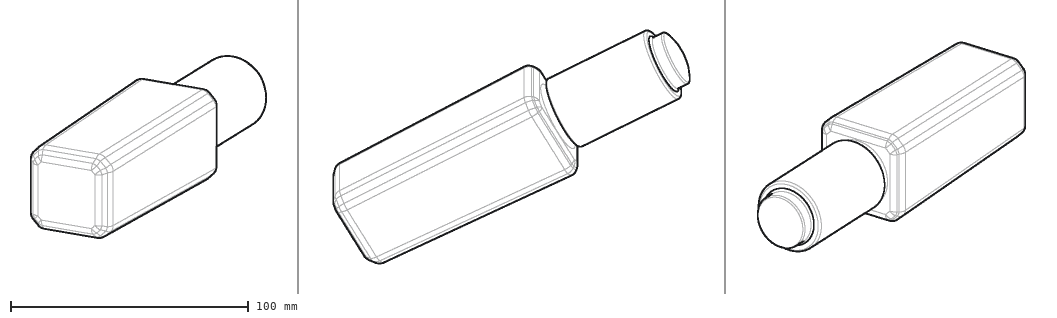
import cadquery as cq
import math

OVERALL_LENGTH = 160.0

SHOULDER_WIDTH = 42.0
SHOULDER_DEPTH = 40.6
SHOULDER_Y = 100.0
DRAFT_ANGLE = 1.0
LONG_EDGE_CHAMFER = 5.0
BASE_CHAMFER = 4.0
SHOULDER_CHAMFER = 3.0
BOTTLE_FILLET = 4.0

NECK_RADIUS = 12.0
NECK_LENGTH = 3.0

COLLAR_RADIUS = 16.0
COLLAR_LENGTH = 48.0
COLLAR_TOP_FILLET = 1.0
COLLAR_BOTTOM_FILLET = 0.5
COLLAR_BOTTOM_Y = SHOULDER_Y + NECK_LENGTH
COLLAR_TOP_Y = COLLAR_BOTTOM_Y + COLLAR_LENGTH

BUTTON_RADIUS = 12.0
BUTTON_FOOT_FLARE = 1.0
BUTTON_RIM_FILLET = 1.0
DOME_HEIGHT = 3.0
DOME_RIM_Y = OVERALL_LENGTH - DOME_HEIGHT
DOME_RADIUS = (BUTTON_RADIUS**2 + DOME_HEIGHT**2) / (2 * DOME_HEIGHT)


def flared_profile(base_y, radius, flare):
    """Open half profile: out along base_y, then up a concave quarter arc to the given radius."""
    arc_mid = flare * (1 - math.sqrt(0.5))
    return (
        cq.Workplane("XY")
        .moveTo(0, base_y)
        .lineTo(radius + flare, base_y)
        .threePointArc((radius + arc_mid, base_y + arc_mid), (radius, base_y + flare))
    )


def revolve_about_y(profile):
    """Close a half profile along the Y axis and turn it into a round solid."""
    return profile.close().revolve(360, (0, 0, 0), (0, 1, 0))


def make_bottle_body():
    """Drafted block with chamfered edges, every resulting edge rounded."""
    shoulder_plane = cq.Plane(origin=(0, SHOULDER_Y, 0), xDir=(1, 0, 0), normal=(0, -1, 0))
    body = (
        cq.Workplane(shoulder_plane)
        .rect(SHOULDER_WIDTH, SHOULDER_DEPTH)
        .extrude(SHOULDER_Y, taper=DRAFT_ANGLE)
    )
    body = body.edges("not(#Y)").chamfer(LONG_EDGE_CHAMFER)
    body = body.faces("<Y").chamfer(BASE_CHAMFER)
    body = body.faces(">Y").chamfer(SHOULDER_CHAMFER)
    return body.edges().fillet(BOTTLE_FILLET)


def make_neck():
    """Short round neck whose foot blends into the shoulder."""
    profile = flared_profile(SHOULDER_Y, NECK_RADIUS, NECK_LENGTH)
    return revolve_about_y(profile.lineTo(0, COLLAR_BOTTOM_Y))


def make_bottle():
    """Bottle body and neck in one piece."""
    return make_bottle_body().union(make_neck())


def make_collar():
    """Round collar with a softened edge at each end."""
    collar_plane = cq.Plane(origin=(0, COLLAR_BOTTOM_Y, 0), xDir=(1, 0, 0), normal=(0, 1, 0))
    collar = cq.Workplane(collar_plane).circle(COLLAR_RADIUS).extrude(COLLAR_LENGTH)
    collar = collar.faces(">Y").edges().fillet(COLLAR_TOP_FILLET)
    return collar.faces("<Y").edges().fillet(COLLAR_BOTTOM_FILLET)


def make_button():
    """Round button with a flared foot and a domed end with a rounded rim."""
    dome_center_y = OVERALL_LENGTH - DOME_RADIUS
    dome_mid_x = BUTTON_RADIUS / 2
    dome_mid_y = dome_center_y + math.sqrt(DOME_RADIUS**2 - dome_mid_x**2)
    profile = (
        flared_profile(COLLAR_TOP_Y, BUTTON_RADIUS, BUTTON_FOOT_FLARE)
        .lineTo(BUTTON_RADIUS, DOME_RIM_Y)
        .threePointArc((dome_mid_x, dome_mid_y), (0, OVERALL_LENGTH))
    )
    button = revolve_about_y(profile)
    rim_selector = cq.selectors.BoxSelector(
        (-BUTTON_RADIUS, DOME_RIM_Y - BUTTON_RIM_FILLET, -BUTTON_RADIUS),
        (BUTTON_RADIUS, DOME_RIM_Y + BUTTON_RIM_FILLET, BUTTON_RADIUS),
    )
    return button.edges("%CIRCLE").edges(rim_selector).fillet(BUTTON_RIM_FILLET)


bottle = make_bottle().solids()
collar = make_collar().solids()
button = make_button().solids()

result = cq.Compound.makeCompound([bottle.val(), collar.val(), button.val()])